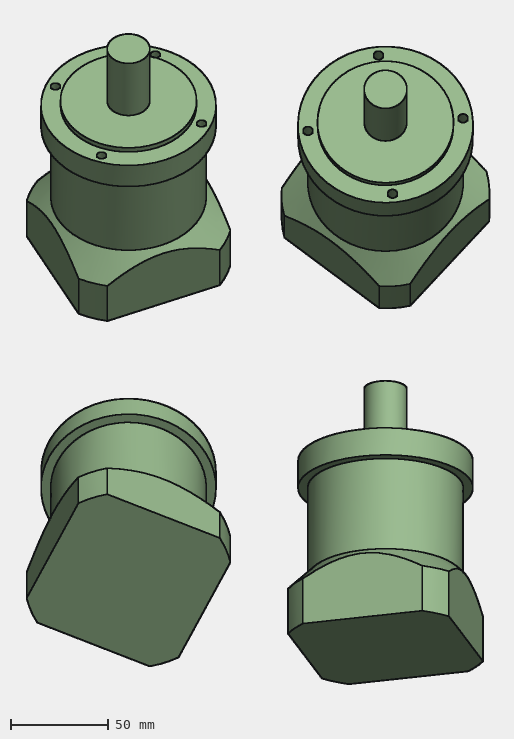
import cadquery as cq
import math

base_side = 86.0
base_corner_diameter = 107.0
base_corner_height = 25.0

housing_diameter = 80.0
housing_height = 50.0

flange_diameter = 90.0
flange_thickness = 15.0
pilot_diameter = 70.0
pilot_height = 3.0
shaft_diameter = 22.0
shaft_length = 37.0

hole_count = 4
first_hole_angle = 45.0
hole_circle_diameter = 80.0
hole_diameter = 5.0
hole_depth = 12.0

shoulder_height = (base_corner_diameter - housing_diameter) / 2
base_height = base_corner_height + shoulder_height
flange_bottom = base_height + housing_height
flange_top = flange_bottom + flange_thickness


def cylinder(diameter, height, bottom):
    return cq.Workplane("XY").workplane(offset=bottom).circle(diameter / 2).extrude(height)


def make_base():
    """Turned blank with a conical shoulder, trimmed to a square."""
    profile = [
        (0, 0),
        (base_corner_diameter / 2, 0),
        (base_corner_diameter / 2, base_corner_height),
        (housing_diameter / 2, base_height),
        (0, base_height),
    ]
    turned = cq.Workplane("XZ").polyline(profile).close().revolve(360, (0, 0), (0, 1))
    square = cq.Workplane("XY").rect(base_side, base_side).extrude(base_height)
    return turned.intersect(square)


def make_output_side():
    """Housing, flange, pilot and shaft stacked on the base."""
    housing = cylinder(housing_diameter, housing_height, base_height)
    flange = cylinder(flange_diameter, flange_thickness, flange_bottom)
    pilot = cylinder(pilot_diameter, pilot_height, flange_top)
    shaft = cylinder(shaft_diameter, shaft_length, flange_top + pilot_height)
    return housing.union(flange).union(pilot).union(shaft)


def cut_mounting_holes(body):
    """Blind holes, one on each diagonal of the flange."""
    hole = cylinder(hole_diameter, hole_depth, flange_top - hole_depth)
    for index in range(hole_count):
        angle = math.radians(first_hole_angle + index * 360 / hole_count)
        x = hole_circle_diameter / 2 * math.cos(angle)
        y = hole_circle_diameter / 2 * math.sin(angle)
        body = body.cut(hole.translate((x, y, 0)))
    return body


result = cut_mounting_holes(make_base().union(make_output_side()))